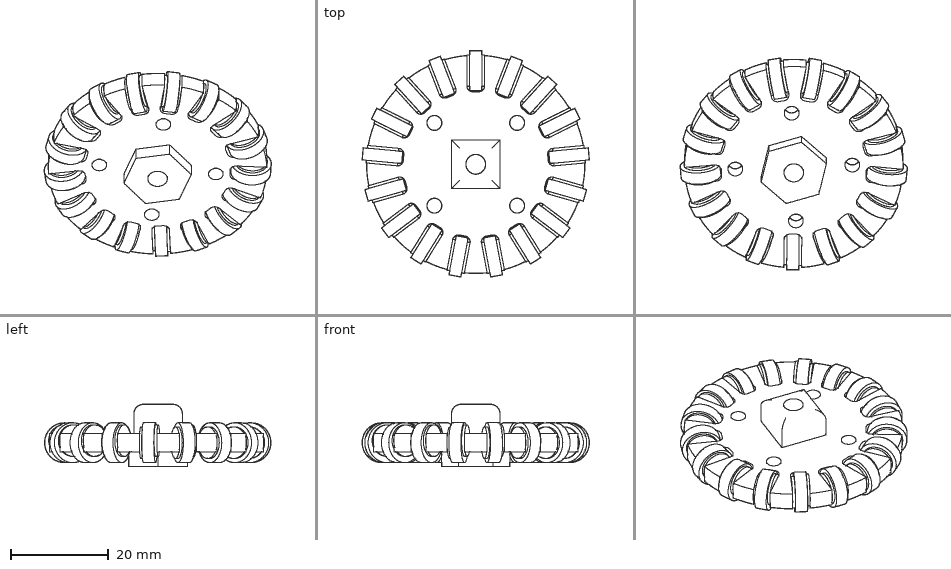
import cadquery as cq

disc_diameter = 44.8
disc_thickness = 3.8

hex_sides = 6
hex_height = 3.0
hex_across_corners = 14.0
block_side = 10.0
block_height = 6.0
block_top_radius = 2.0
bore_diameter = 4.0

mount_hole_count = 4
mount_hole_diameter = 3.0
mount_circle_radius = 12.0
mount_first_angle = 45

roller_count = 17
roller_diameter = 8.2
roller_width = 2.5
shoulder_diameter = 6.5
shoulder_width = 3.6
raised_shoulder_offset = 0.42
roller_reach = 23.3
roller_circle_radius = roller_reach - roller_diameter / 2

slot_width = shoulder_width
slot_end_clearance = 0.2
slot_corner_radius = 1.2
slot_inner_radius = roller_circle_radius - roller_diameter / 2 - slot_end_clearance
slot_outer_radius = disc_diameter / 2 + slot_corner_radius

disc_middle_z = hex_height + disc_thickness / 2
disc_top_z = hex_height + disc_thickness
overall_height = disc_top_z + block_height


def make_hub():
    """Hexagonal foot and the square block with its rounded top edges."""
    foot = cq.Workplane("XY").polygon(hex_sides, hex_across_corners).extrude(hex_height)
    block = (
        cq.Workplane("XY", origin=(0, 0, disc_top_z))
        .rect(block_side, block_side)
        .extrude(block_height)
        .faces(">Z")
        .edges()
        .fillet(block_top_radius)
    )
    return foot, block


def make_disc():
    """Plain round disc resting on the hexagonal foot."""
    return (
        cq.Workplane("XY", origin=(0, 0, hex_height))
        .circle(disc_diameter / 2)
        .extrude(disc_thickness)
    )


def make_slot():
    """Cutter for the slot on the +Y side, open at the rim, with rounded inner corners."""
    slot_length = slot_outer_radius - slot_inner_radius
    return (
        cq.Workplane("XY", origin=(0, slot_inner_radius + slot_length / 2, hex_height))
        .rect(slot_width, slot_length)
        .extrude(disc_thickness)
        .edges("|Z and <Y")
        .fillet(slot_corner_radius)
    )


def make_rim_cylinder(diameter, start_x, end_x, centre_z):
    """Cylinder along X between two X positions, at the roller place on the +Y side."""
    return (
        cq.Workplane("YZ", origin=(start_x, roller_circle_radius, centre_z))
        .circle(diameter / 2)
        .extrude(end_x - start_x)
    )


def make_roller():
    """Roller on the +Y side with a smaller shoulder on each face, the -X one set higher."""
    raised_z = disc_middle_z + raised_shoulder_offset
    tread = make_rim_cylinder(roller_diameter, -roller_width / 2, roller_width / 2, disc_middle_z)
    level_shoulder = make_rim_cylinder(shoulder_diameter, 0, shoulder_width / 2, disc_middle_z)
    raised_shoulder = make_rim_cylinder(shoulder_diameter, -shoulder_width / 2, 0, raised_z)
    return tread.union(level_shoulder).union(raised_shoulder)


def around_axis(shape, index):
    """Turn a rim feature to its place in the ring of rollers."""
    return shape.rotate((0, 0, 0), (0, 0, 1), index * 360 / roller_count)


def make_mount_holes():
    """Cutters for the through holes on the diagonals of the block."""
    return (
        cq.Workplane("XY")
        .polarArray(mount_circle_radius, mount_first_angle, 360, mount_hole_count)
        .circle(mount_hole_diameter / 2)
        .extrude(overall_height)
    )


foot, block = make_hub()
slot = make_slot()
roller = make_roller()

wheel = make_disc()
for index in range(roller_count):
    wheel = wheel.cut(around_axis(slot, index))
for index in range(roller_count):
    wheel = wheel.union(around_axis(roller, index))

bore = cq.Workplane("XY").circle(bore_diameter / 2).extrude(overall_height)
result = wheel.union(foot).union(block).cut(bore).cut(make_mount_holes())